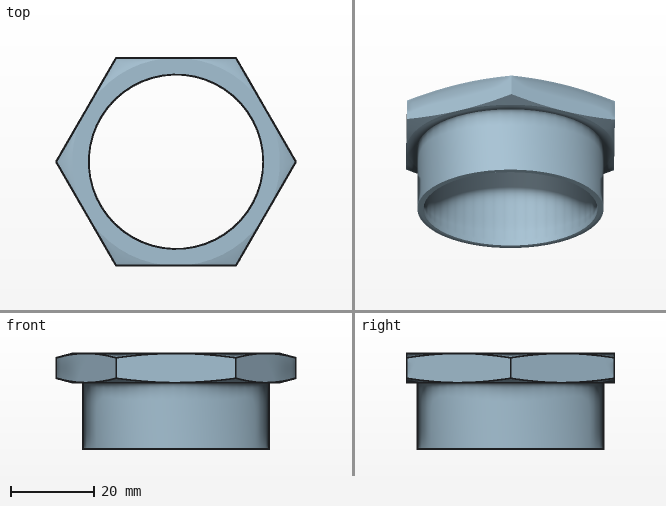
import cadquery as cq
import math

across_flats = 50.0
hex_height = 7.0
sleeve_length = 16.0
sleeve_diameter = 44.84
bore_diameter = 41.91
chamfer_angle = 15.0

hex_sides = 6
across_corners = across_flats / math.cos(math.pi / hex_sides)
flat_radius = across_flats / 2
total_height = sleeve_length + hex_height


def chamfer_envelope():
    """Turned blank whose conical ends bevel the hexagon corners on both faces."""
    apex_radius = flat_radius + hex_height / 2 / math.tan(math.radians(chamfer_angle))
    return (
        cq.Workplane("XZ")
        .moveTo(0, sleeve_length)
        .lineTo(flat_radius, sleeve_length)
        .lineTo(apex_radius, sleeve_length + hex_height / 2)
        .lineTo(flat_radius, total_height)
        .lineTo(0, total_height)
        .close()
        .revolve(360, (0, 0, 0), (0, 1, 0))
    )


def hex_head():
    """Hexagonal flange with corners on the X axis, bevelled top and bottom."""
    prism = (
        cq.Workplane("XY", origin=(0, 0, sleeve_length))
        .polygon(hex_sides, across_corners)
        .extrude(hex_height)
    )
    return prism.intersect(chamfer_envelope())


def sleeve():
    """Plain round sleeve below the flange."""
    return cq.Workplane("XY").circle(sleeve_diameter / 2).extrude(total_height)


def bore():
    """Through bore along the part axis."""
    return cq.Workplane("XY").circle(bore_diameter / 2).extrude(total_height)


result = hex_head().union(sleeve()).cut(bore())